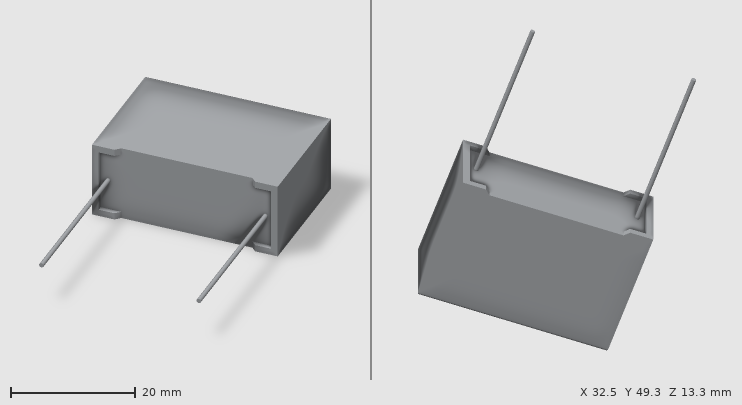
import cadquery as cq

width = 32.5
height = 13.3
total_length = 49.3
housing_depth = 22.45
back_edge_radius = 0.5
wall = 1.2

recess_depth = 0.85
foot_width = 4.8

lead_diameter = 0.8
lead_spacing = 27.5
lead_length = total_length - housing_depth + recess_depth

cavity_width = width - 2 * wall
cavity_height = height - 2 * wall
recess_half_width = width / 2 - foot_width
front_wall_width = 2 * recess_half_width


def y_box(box_width, box_height, y_start, y_end):
    """Box centred on X and Z that runs from y_start to y_end."""
    return cq.Workplane("XY").box(box_width, y_end - y_start, box_height).translate(
        (0, (y_start + y_end) / 2, 0)
    )


def make_filler():
    """Resin in the cavity, level with the recess and set back behind the front wall."""
    block = y_box(cavity_width, cavity_height, recess_depth, housing_depth - wall)
    set_back = y_box(front_wall_width, cavity_height, recess_depth, recess_depth + wall)
    return block.cut(set_back)


def make_housing(filler):
    """Hollow case with rounded back edges, a front recess and a window in each foot."""
    case = y_box(width, height, 0, housing_depth).faces(">Y").edges().fillet(back_edge_radius)
    recess = (
        cq.Workplane("XY")
        .polyline([
            (-recess_half_width - recess_depth, 0),
            (-recess_half_width, recess_depth),
            (recess_half_width, recess_depth),
            (recess_half_width + recess_depth, 0),
        ])
        .close()
        .extrude(height / 2, both=True)
    )
    windows = y_box(cavity_width, cavity_height, 0, recess_depth)
    return case.cut(recess).cut(windows).cut(filler)


def make_lead(x):
    """Round wire that stands on the resin and points toward -Y."""
    return (
        cq.Workplane("XZ", origin=(x, recess_depth, 0))
        .circle(lead_diameter / 2)
        .extrude(lead_length)
    )


filler = make_filler()
housing = make_housing(filler)
leads = [make_lead(side * lead_spacing / 2) for side in (-1, 1)]

result = cq.Compound.makeCompound([housing.val(), filler.val(), *[lead.val() for lead in leads]])